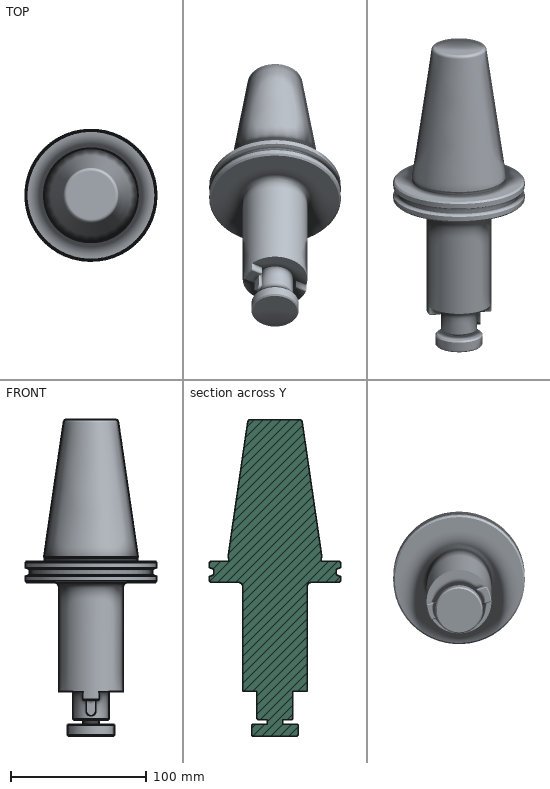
import cadquery as cq
import math


gauge_radius = 69.85 / 2
taper_length = 101.75
taper_ratio = 7 / 24 / 2
taper_end_fillet = 2.5
neck_taper_length = 1.2
neck_radius = 34.5
neck_fillet = 0.5

flange_radius = 97.5 / 2
flange_top = -3.2
flange_bottom = -19.1
flange_edge_chamfer = 1.2
groove_center = -11.35
groove_mouth = 6.5
groove_bottom_radius = 91.25 / 2
groove_floor = 3.8

body_radius = 24.0
body_end = -100.0
body_fillet = 3.2

spigot_radius = 13.5
spigot_length = 21.0
spigot_chamfer = 1.0

screw_shank_radius = 6.0
screw_head_radius = 17.5
screw_head_height = 9.0
screw_head_chamfer = 1.0
screw_end = -133.0

dog_width = 12.0
dog_height = 6.3
dog_inner_distance = 14.5
dog_chamfer = 0.6
key_width = 7.0
key_length = 17.8
key_outer_distance = 15.7


def make_turned_body():
    """Revolve the taper, flange, body, spigot and clamping screw."""
    small_end_radius = gauge_radius - taper_ratio * taper_length
    spigot_end = body_end - spigot_length
    head_top = screw_end + screw_head_height
    arc_mid_factor = 1 - math.sqrt(0.5)
    neck_fillet_mid = neck_fillet * arc_mid_factor
    body_fillet_mid = body_fillet * arc_mid_factor

    profile = (
        cq.Workplane("XZ")
        .moveTo(0, taper_length)
        .lineTo(small_end_radius, taper_length)
        .lineTo(gauge_radius, 0)
        .lineTo(neck_radius, -neck_taper_length)
        .lineTo(neck_radius, flange_top + neck_fillet)
        .threePointArc(
            (neck_radius + neck_fillet_mid, flange_top + neck_fillet_mid),
            (neck_radius + neck_fillet, flange_top),
        )
        .lineTo(flange_radius - flange_edge_chamfer, flange_top)
        .lineTo(flange_radius, flange_top - flange_edge_chamfer)
        .lineTo(flange_radius, groove_center + groove_mouth / 2)
        .lineTo(groove_bottom_radius, groove_center + groove_floor / 2)
        .lineTo(groove_bottom_radius, groove_center - groove_floor / 2)
        .lineTo(flange_radius, groove_center - groove_mouth / 2)
        .lineTo(flange_radius, flange_bottom + flange_edge_chamfer)
        .lineTo(flange_radius - flange_edge_chamfer, flange_bottom)
        .lineTo(body_radius + body_fillet, flange_bottom)
        .threePointArc(
            (body_radius + body_fillet_mid, flange_bottom - body_fillet_mid),
            (body_radius, flange_bottom - body_fillet),
        )
        .lineTo(body_radius, body_end)
        .lineTo(spigot_radius, body_end)
        .lineTo(spigot_radius, spigot_end + spigot_chamfer)
        .lineTo(spigot_radius - spigot_chamfer, spigot_end)
        .lineTo(screw_shank_radius, spigot_end)
        .lineTo(screw_shank_radius, head_top)
        .lineTo(screw_head_radius - screw_head_chamfer, head_top)
        .lineTo(screw_head_radius, head_top - screw_head_chamfer)
        .lineTo(screw_head_radius, screw_end + screw_head_chamfer)
        .lineTo(screw_head_radius - screw_head_chamfer, screw_end)
        .lineTo(0, screw_end)
        .close()
    )
    turned = profile.revolve(360, (0, 0, 0), (0, 1, 0))
    return turned.faces(">Z").edges().fillet(taper_end_fillet)


def make_dog(side):
    """Drive dog on the body end face; side is +1 for +Y and -1 for -Y."""
    radial_length = body_radius - dog_inner_distance
    block = (
        cq.Workplane("XY", origin=(0, 0, body_end))
        .center(0, side * (dog_inner_distance + radial_length / 2))
        .rect(dog_width, radial_length)
        .extrude(-dog_height)
    )
    body_envelope = cq.Workplane("XY", origin=(0, 0, body_end)).circle(body_radius).extrude(-dog_height)
    return block.intersect(body_envelope).faces("<Z").chamfer(dog_chamfer)


def make_key():
    """Round-ended key seated in the -Y side of the spigot."""
    key_radius = key_width / 2
    straight_end = body_end - key_length + key_radius
    return (
        cq.Workplane("XZ")
        .moveTo(-key_radius, body_end)
        .lineTo(key_radius, body_end)
        .lineTo(key_radius, straight_end)
        .threePointArc((0, body_end - key_length), (-key_radius, straight_end))
        .close()
        .extrude(key_outer_distance)
    )


result = make_turned_body().union(make_key())
for dog_side in (1, -1):
    result = result.union(make_dog(dog_side))